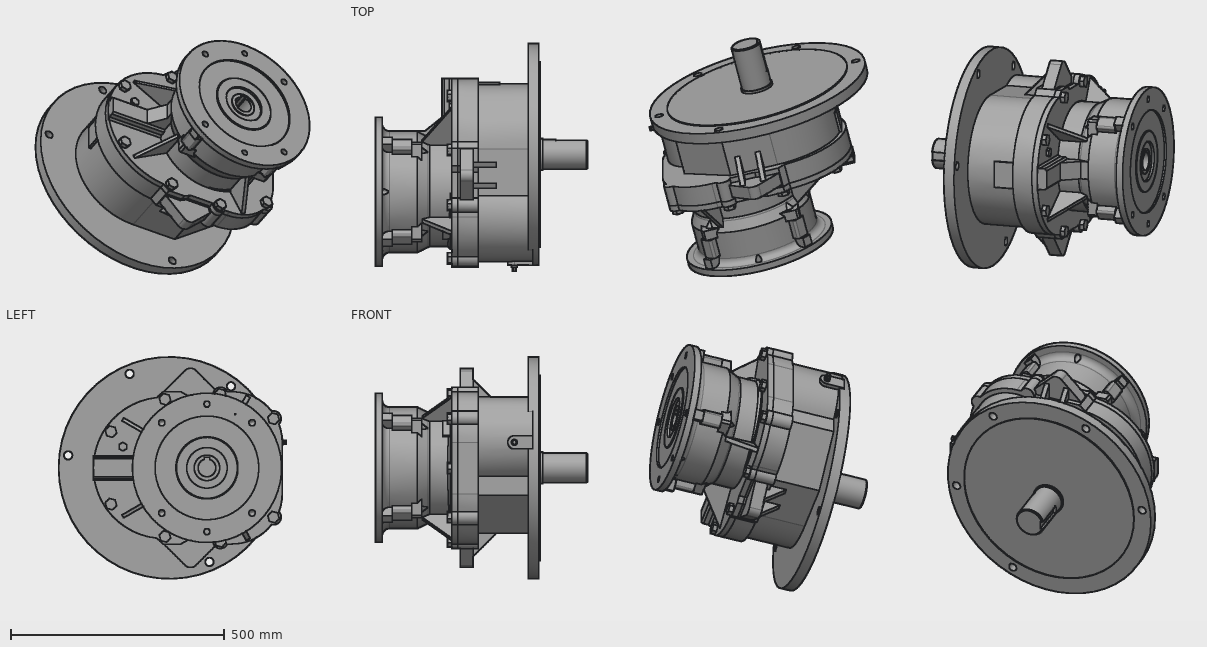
import cadquery as cq
import math

INPUT_Y = -87.5

ADAPTER_FLANGE_END = 16.0
LUG_FOOT_END = 39.0
TUBE_FILLET_END = 32.5
CORNER_BLOCK_START = 85.0
CORNER_BLOCK_END = 108.0
CONE_START = 98.0
CONE_END = 123.0
NECK_START = 127.5
COVER_FACE = 179.0
JOINT = 193.0
TAB_START = 198.0
TAB_END = 228.5
CASE_FLANGE_END = 241.0
OUTPUT_FLANGE_START = 357.5
CASE_BARREL_END = 368.5
OUTPUT_FLANGE_END = 383.0
PILOT_END = 385.5
SHOULDER_END = 391.5
SHAFT_END = 497.0

ADAPTER_FLANGE_R = 350.0 / 2
TUBE_R = 142.5
CONE_END_R = 130.5
NECK_R = 128.5
NECK_FOOT_START = 170.0
NECK_FOOT_SHIFT = 6.5
NECK_FOOT_CHAMFER = 6.0
PILOT_RECESS_R = 243.0 / 2
PILOT_RECESS_DEPTH = 5.0
RING_R = 146.0 / 2
RING_FACE = 2.5
RING_CHAMFER = 1.5
SEAL_RECESS_R = 95.0 / 2
SEAL_RECESS_DEPTH = 8.5
HUB_R = 60.0 / 2
HUB_FACE = 6.5
BORE_R = 41.5 / 2
BORE_DEPTH = 112.0
BORE_KEY_WIDTH = 12.5
BORE_KEY_TOP = 24.5
MOTOR_HOLE_D = 15.0
MOTOR_HOLE_DEPTH = 29.5
MOTOR_HOLE_CIRCLE_R = 149.5
PIN_HOLE_D = 14.0
CORNER_BLOCK_HALF = 116.5
CORNER_BLOCK_CHAMFER = 5.5
LUG_WIDTH = 33.0
LUG_TOP_R = 160.0
LUG_ROUND = 5.5
LUG_FOOT_WIDTH = 23.0
LUG_FOOT_R = 169.5
TIP_R = 12.0
TIP_CIRCLE_R = 131.5
TIP_END = 123.0
NECK_PAD_START = 157.5
NECK_PAD_WIDTH = 48.0
NECK_PAD_R = 132.5
DIAGONALS = [45, 135, 225, 315]

WEB_START_R = 135.5
WEBS = [(30, 8.0, 227.5), (-30, 8.0, 227.5), (120, 10.5, 193.5), (-120, 10.5, 193.5)]

CHANNEL_END_Y = 178.5
CHANNEL_TOP_X = 155.5
CHANNEL_SHOULDER_X = 161.0
CHANNEL_FOOT_X = 173.0
CHANNEL_TOP_HALF = 21.0
CHANNEL_SIDE_HALF = 25.0
CHANNEL_FOOT_HALF = 29.0
RAMP_START = 116.0
RAMP_END_Y = 86.5

MAIN_Y = 13.0
BARREL_R = 153.5
FLANGE_R = 165.5
RIM_Z = 178.5
RIM_DIP_Z = 170.0
RIM_RISE_Y = 30.0
RIM_TOP_Y = 15.0
DIP_START_Y = -26.0
DIP_FLOOR_Y = -41.5
SIDE_Y = -264.5
CORNER_R = 118.0
BOSSES = [(-119.0, 172.0, 17.0), (-243.5, 115.5, 18.0)]

BOLT_HEX = 28.0
BOLT_TURN = 15
BOLT_HEAD_HEIGHT = 10.5
BOLTS = [(10.5, 161.0), (137.5, 85.0), (-119.0, 172.0), (-243.5, 115.5)]
MIDDLE_BOLT_Y = -243.5
VENT_HEX = 20.5
VENT_TURN = 30
VENT_HEIGHT = 6.5
VENT_POSITION = (109.5, 49.5)

SIDE_BARREL_Y = -147.5
SIDE_BARREL_Z = 62.0
SIDE_BARREL_R = 104.0
SIDE_WALL_Y = -211.5
SIDE_WALL_LOW_Z = -64.5
BOTTOM_END_Y = -100.0

TAB_Y = -49.0
TAB_APEX_Z = 241.0
TAB_ROUND = 18.0
GUSSET_OFFSET = 24.5
GUSSET_THICKNESS = 12.0
GUSSET_TOP_Z = 208.0

REAR_PAD_END_X = 290.5
REAR_PAD_Y = 169.0
REAR_PAD_HALF = 31.0

PLUG_X = 325.5
PLUG_Z = 60.0
PLUG_PAD_R = 15.5
PLUG_PAD_Y = -259.5
PLUG_COLLAR_D = 14.0
PLUG_COLLAR_Y = -265.0
PLUG_HEX = 10.0
PLUG_END_Y = -274.0

OUTPUT_FLANGE_D = 520.0
PILOT_D = 435.0
FLANGE_HOLE_D = 19.0
FLANGE_HOLE_CIRCLE_R = 239.5
FLANGE_HOLE_ANGLES = [7, 67, 127, 187, 247]
SHOULDER_D = 75.0
SHAFT_D = 70.0
SHAFT_CHAMFER = 2.5
SHAFT_KEY_START = 422.0
SHAFT_KEY_WIDTH = 20.0
SHAFT_KEY_FLOOR = 27.0


def section(x):
    """Workplane across the X axis: local x is Y, local y is Z, extrusion runs toward +X."""
    return cq.Workplane("YZ", origin=(x, 0, 0))


def input_section(x):
    return cq.Workplane("YZ", origin=(x, INPUT_Y, 0))


def disc(x0, x1, diameter, y=0.0, z=0.0):
    return section(x0).center(y, z).circle(diameter / 2).extrude(x1 - x0)


def turned_bar(x0, x1, width, radius, angle, rounding=0.0):
    """Bar reaching from the input axis out to a radius, at an angle from +Y."""
    bar = input_section(x0).center(radius / 2, 0).rect(radius, width).extrude(x1 - x0)
    if rounding:
        bar = bar.faces(">Y").edges("|X").fillet(rounding)
    return bar.rotate((0, INPUT_Y, 0), (1, INPUT_Y, 0), angle)


def bolted_plate(x0, x1):
    """Plate with the outline shared by the cover and the case flange, bolt bosses included."""
    corner_y = SIDE_Y + CORNER_R
    corner_z = RIM_Z - CORNER_R
    corner_mid = CORNER_R * math.sqrt(0.5)
    rise_z = math.sqrt(FLANGE_R**2 - (RIM_RISE_Y - MAIN_Y) ** 2)
    boss_y = BOSSES[0][0]
    rim = [
        (RIM_TOP_Y, RIM_Z),
        (DIP_START_Y, RIM_Z),
        (DIP_FLOOR_Y, RIM_DIP_Z),
        (boss_y, RIM_DIP_Z),
        (boss_y, RIM_Z),
        (corner_y, RIM_Z),
    ]
    outline = section(x0).moveTo(RIM_RISE_Y, -rise_z)
    outline = outline.threePointArc((MAIN_Y + FLANGE_R, 0), (RIM_RISE_Y, rise_z))
    for y, z in rim:
        outline = outline.lineTo(y, z)
    outline = outline.threePointArc((corner_y - corner_mid, corner_z + corner_mid), (SIDE_Y, corner_z))
    outline = outline.lineTo(SIDE_Y, -corner_z)
    outline = outline.threePointArc((corner_y - corner_mid, -corner_z - corner_mid), (corner_y, -RIM_Z))
    for y, z in reversed(rim[:-1]):
        outline = outline.lineTo(y, -z)
    plate = outline.close().extrude(x1 - x0)
    for y, z, radius in BOSSES:
        for side in (1, -1):
            plate = plate.union(disc(x0, x1, 2 * radius, y, side * z))
    return plate


def adapter_tube():
    """Turned shape around the input axis: motor flange, tube, cone and neck."""
    flange_fillet = TUBE_FILLET_END - ADAPTER_FLANGE_END
    bend = 1 - math.sqrt(0.5)
    profile = (
        cq.Workplane("XY", origin=(0, INPUT_Y, 0))
        .lineTo(0, ADAPTER_FLANGE_R)
        .lineTo(ADAPTER_FLANGE_END, ADAPTER_FLANGE_R)
        .lineTo(ADAPTER_FLANGE_END, TUBE_R + flange_fillet)
        .threePointArc(
            (ADAPTER_FLANGE_END + flange_fillet * bend, TUBE_R + flange_fillet * bend),
            (TUBE_FILLET_END, TUBE_R),
        )
        .lineTo(CONE_START, TUBE_R)
        .lineTo(CONE_END, CONE_END_R)
        .lineTo(NECK_START, NECK_R)
        .lineTo(COVER_FACE, NECK_R)
        .lineTo(COVER_FACE, 0)
        .close()
    )
    return profile.revolve(360, (0, 0, 0), (1, 0, 0))


def neck_foot():
    """Bevelled foot of the neck, off centre so that it only shows toward -Y."""
    foot = disc(NECK_FOOT_START, COVER_FACE, 2 * NECK_R, INPUT_Y - NECK_FOOT_SHIFT)
    return foot.faces("<X").chamfer(NECK_FOOT_CHAMFER)


def corner_tip(angle):
    """Pointed boss behind the corner block."""
    tip = cq.Workplane("XY", origin=(0, INPUT_Y + TIP_CIRCLE_R, 0)).polyline(
        [(CORNER_BLOCK_START, 0), (CORNER_BLOCK_START, TIP_R), (CORNER_BLOCK_END, TIP_R), (TIP_END, 0)]
    )
    tip = tip.close().revolve(360, (0, 0, 0), (1, 0, 0))
    return tip.rotate((0, INPUT_Y, 0), (1, INPUT_Y, 0), angle)


def corner_lugs():
    """Square block behind the tube, with a lug from each corner to the motor flange."""
    side = 2 * CORNER_BLOCK_HALF
    lugs = input_section(CORNER_BLOCK_START).rect(side, side)
    lugs = lugs.extrude(CORNER_BLOCK_END - CORNER_BLOCK_START)
    lugs = lugs.edges("|X").chamfer(CORNER_BLOCK_CHAMFER)
    for angle in DIAGONALS:
        lug = turned_bar(LUG_FOOT_END, CORNER_BLOCK_START, LUG_WIDTH, LUG_TOP_R, angle, LUG_ROUND)
        foot = turned_bar(ADAPTER_FLANGE_END, LUG_FOOT_END, LUG_FOOT_WIDTH, LUG_FOOT_R, angle)
        lugs = lugs.union(lug).union(foot).union(corner_tip(angle))
    return lugs


def web(angle, thickness, cover_r):
    """Triangular web from the corner blocks to the cover face."""
    profile = cq.Workplane("XY", origin=(0, INPUT_Y, 0)).polyline(
        [(CORNER_BLOCK_END, 0), (CORNER_BLOCK_END, WEB_START_R), (COVER_FACE, cover_r), (COVER_FACE, 0)]
    )
    plate = profile.close().extrude(thickness / 2, both=True)
    return plate.rotate((0, INPUT_Y, 0), (1, INPUT_Y, 0), angle)


def cover_channel():
    """Bevelled channel on the cover face, and its ramp down to the tube."""
    half = [
        (CHANNEL_TOP_X, CHANNEL_TOP_HALF),
        (CHANNEL_SHOULDER_X, CHANNEL_SIDE_HALF),
        (CHANNEL_FOOT_X, CHANNEL_SIDE_HALF),
        (COVER_FACE, CHANNEL_FOOT_HALF),
    ]
    outline = half + [(x, -z) for x, z in reversed(half)]
    channel = cq.Workplane("XZ", origin=(0, CHANNEL_END_Y, 0)).polyline(outline).close()
    channel = channel.extrude(CHANNEL_END_Y)
    ramp_profile = [
        (CONE_START, INPUT_Y),
        (CONE_START, INPUT_Y + TUBE_R),
        (RAMP_START, INPUT_Y + TUBE_R),
        (CHANNEL_TOP_X, RAMP_END_Y),
        (COVER_FACE, RAMP_END_Y),
        (COVER_FACE, INPUT_Y),
    ]
    ramp = cq.Workplane("XY").polyline(ramp_profile).close().extrude(CHANNEL_TOP_HALF, both=True)
    return channel.union(ramp)


def hex_head(y, z, size, height, turn):
    head = cq.Workplane("YZ").polygon(6, size).extrude(height).rotate((0, 0, 0), (1, 0, 0), turn)
    return head.translate((COVER_FACE - height, y, z))


def cover_heads():
    heads = hex_head(MIDDLE_BOLT_Y, 0, BOLT_HEX, BOLT_HEAD_HEIGHT, BOLT_TURN)
    for y, z in BOLTS:
        for side in (1, -1):
            heads = heads.union(hex_head(y, side * z, BOLT_HEX, BOLT_HEAD_HEIGHT, BOLT_TURN))
    return heads.union(hex_head(*VENT_POSITION, VENT_HEX, VENT_HEIGHT, VENT_TURN))


def cut_motor_face(body):
    """Pilot recess with the bearing ring and hub left standing, keyed bore and flange holes."""
    recess = disc(0, PILOT_RECESS_DEPTH, 2 * PILOT_RECESS_R, INPUT_Y)
    ring = disc(RING_FACE, PILOT_RECESS_DEPTH, 2 * RING_R, INPUT_Y)
    ring = ring.faces("<X").chamfer(RING_CHAMFER)
    seal_recess = disc(0, SEAL_RECESS_DEPTH, 2 * SEAL_RECESS_R, INPUT_Y)
    hub = disc(HUB_FACE, SEAL_RECESS_DEPTH, 2 * HUB_R, INPUT_Y)
    body = body.cut(recess.cut(ring)).cut(seal_recess.cut(hub))

    bore = disc(0, BORE_DEPTH, 2 * BORE_R, INPUT_Y)
    key_slot = input_section(0).center(0, BORE_KEY_TOP / 2).rect(BORE_KEY_WIDTH, BORE_KEY_TOP)
    body = body.cut(bore).cut(key_slot.extrude(BORE_DEPTH))

    hole_r = MOTOR_HOLE_D / 2
    drill = cq.Workplane("XY", origin=(0, INPUT_Y + MOTOR_HOLE_CIRCLE_R, 0)).polyline(
        [(0, 0), (0, hole_r), (MOTOR_HOLE_DEPTH - hole_r, hole_r), (MOTOR_HOLE_DEPTH, 0)]
    )
    drill = drill.close().revolve(360, (0, 0, 0), (1, 0, 0))
    for angle in DIAGONALS:
        body = body.cut(drill.rotate((0, INPUT_Y, 0), (1, INPUT_Y, 0), angle))
    for side in (1, -1):
        body = body.cut(disc(0, TUBE_FILLET_END, PIN_HOLE_D, INPUT_Y, side * MOTOR_HOLE_CIRCLE_R))
    return body


def make_adapter():
    """Motor adapter cast in one piece with the gear cover."""
    body = adapter_tube().union(neck_foot()).union(corner_lugs())
    body = body.union(bolted_plate(COVER_FACE, JOINT))
    for angle, thickness, cover_r in WEBS:
        body = body.union(web(angle, thickness, cover_r))
    body = body.union(turned_bar(NECK_PAD_START, COVER_FACE, NECK_PAD_WIDTH, NECK_PAD_R, 135))
    body = body.union(cover_channel()).union(cover_heads())
    return cut_motor_face(body)


def case_barrel():
    """Main barrel joined by flats to a smaller barrel near the -Y, +Z corner."""
    blend_y = SIDE_BARREL_Y + math.sqrt(SIDE_BARREL_R**2 - (BARREL_R - SIDE_BARREL_Z) ** 2)
    wall_z = SIDE_BARREL_Z - math.sqrt(SIDE_BARREL_R**2 - (SIDE_WALL_Y - SIDE_BARREL_Y) ** 2)
    outline = (
        section(CASE_FLANGE_END)
        .moveTo(MAIN_Y, -BARREL_R)
        .threePointArc((MAIN_Y + BARREL_R, 0), (MAIN_Y, BARREL_R))
        .lineTo(blend_y, BARREL_R)
        .threePointArc((SIDE_BARREL_Y - SIDE_BARREL_R, SIDE_BARREL_Z), (SIDE_WALL_Y, wall_z))
        .lineTo(SIDE_WALL_Y, SIDE_WALL_LOW_Z)
        .lineTo(BOTTOM_END_Y, -BARREL_R)
        .close()
    )
    return outline.extrude(CASE_BARREL_END - CASE_FLANGE_END)


def lifting_tab():
    """Upper tab: a right-angled corner pointing up, with two 45 degree gussets behind it."""
    half_height = TAB_APEX_Z / 2
    outline = [(TAB_Y, TAB_APEX_Z), (TAB_Y - half_height, half_height), (TAB_Y + half_height, half_height)]
    tab = section(TAB_START).polyline(outline).close().extrude(TAB_END - TAB_START)
    tab = tab.edges("|X and >Z").fillet(TAB_ROUND)
    rise = GUSSET_TOP_Z - BARREL_R
    for offset in (GUSSET_OFFSET, -GUSSET_OFFSET):
        gusset = cq.Workplane("XZ", origin=(0, TAB_Y + offset, 0)).polyline(
            [(TAB_END, BARREL_R), (TAB_END, GUSSET_TOP_Z), (TAB_END + rise, BARREL_R)]
        )
        tab = tab.union(gusset.close().extrude(GUSSET_THICKNESS / 2, both=True))
    return tab


def rear_pad():
    pad = section(CASE_FLANGE_END).center(REAR_PAD_Y / 2, 0).rect(REAR_PAD_Y, 2 * REAR_PAD_HALF)
    return pad.extrude(REAR_PAD_END_X - CASE_FLANGE_END)


def oil_plug():
    """Round-ended pad on the side barrel with a collar and a hexagon."""
    base = cq.Workplane("XZ", origin=(0, SIDE_BARREL_Y, 0)).center(PLUG_X, PLUG_Z)
    pad_height = SIDE_BARREL_Y - PLUG_PAD_Y
    pad_length = CASE_BARREL_END - PLUG_X
    plug = base.circle(PLUG_PAD_R).extrude(pad_height)
    plug = plug.union(base.center(pad_length / 2, 0).rect(pad_length, 2 * PLUG_PAD_R).extrude(pad_height))
    plug = plug.union(base.circle(PLUG_COLLAR_D / 2).extrude(SIDE_BARREL_Y - PLUG_COLLAR_Y))
    return plug.union(base.polygon(6, PLUG_HEX).extrude(SIDE_BARREL_Y - PLUG_END_Y))


def output_flange():
    flange = disc(OUTPUT_FLANGE_START, OUTPUT_FLANGE_END, OUTPUT_FLANGE_D)
    flange = flange.union(disc(OUTPUT_FLANGE_START, PILOT_END, PILOT_D))
    for angle in FLANGE_HOLE_ANGLES:
        y = FLANGE_HOLE_CIRCLE_R * math.cos(math.radians(angle))
        z = FLANGE_HOLE_CIRCLE_R * math.sin(math.radians(angle))
        flange = flange.cut(disc(OUTPUT_FLANGE_START, OUTPUT_FLANGE_END, FLANGE_HOLE_D, y, z))
    return flange


def output_shaft():
    """Shaft end with its shoulder and a keyway on the +Y side, open at the end."""
    shaft = disc(OUTPUT_FLANGE_START, SHAFT_END, SHAFT_D).faces(">X").chamfer(SHAFT_CHAMFER)
    shaft = shaft.union(disc(OUTPUT_FLANGE_START, SHOULDER_END, SHOULDER_D))
    keyway = section(SHAFT_KEY_START).center(SHAFT_KEY_FLOOR + SHAFT_D / 2, 0)
    keyway = keyway.rect(SHAFT_D, SHAFT_KEY_WIDTH).extrude(SHAFT_END - SHAFT_KEY_START)
    return shaft.cut(keyway)


def make_gear_case():
    """Gear case with its output flange and shaft end."""
    tab = lifting_tab()
    body = bolted_plate(JOINT, CASE_FLANGE_END)
    body = body.union(case_barrel()).union(rear_pad())
    body = body.union(tab).union(tab.mirror("XY"))
    body = body.union(output_flange()).union(oil_plug())
    return body.union(output_shaft())


adapter = make_adapter()
gear_case = make_gear_case()

result = cq.Compound.makeCompound([adapter.val(), gear_case.val()])